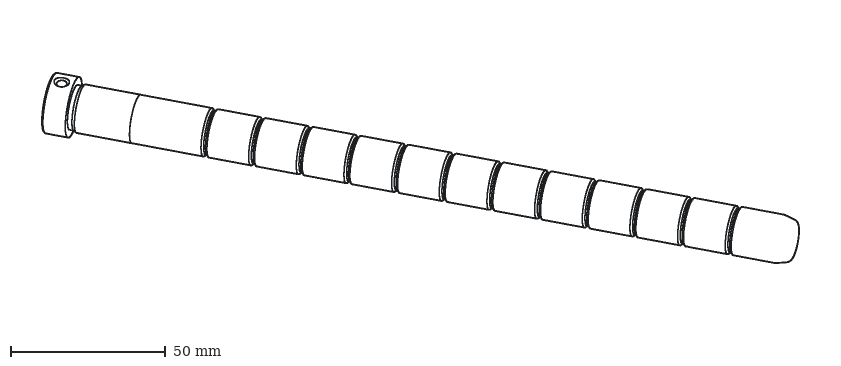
import cadquery as cq

TOTAL_LENGTH = 250.0

HEAD_DIAMETER = 20.0
HEAD_LENGTH = 8.0
HEAD_CHAMFER = 0.5

SHANK_DIAMETER = 16.0
SEAT_DIAMETER = 16.02
SEAT_END = 29.0

RELIEF_DEPTH = 0.6
RELIEF_FLOOR_LENGTH = 1.5
RELIEF_LENGTH = 2.5

GROOVE_COUNT = 12
GROOVE_PITCH = 16.0
FIRST_GROOVE_CENTER = 54.0
GROOVE_WIDTH = 2.0
GROOVE_FLOOR_WIDTH = 0.6
GROOVE_DEPTH = 0.7

TIP_LENGTH = 5.0
RIM_LENGTH = 1.5
RIM_RADIUS = 2.0
RIM_DIAMETER = 14.2
END_FACE_DIAMETER = 10.2

AXIAL_HOLE_DIAMETER = 2.6
AXIAL_COUNTERSINK_DIAMETER = 4.0
AXIAL_HOLE_DEPTH = 4.0

RADIAL_HOLE_DIAMETER = 3.3
RADIAL_COUNTERSINK_DIAMETER = 5.0
RADIAL_HOLE_DEPTH = 4.0


def revolve_about_x(outline):
    """Full revolution of an XZ outline about the pin axis."""
    return outline.revolve(360, (0, 0, 0), (1, 0, 0))


def make_body():
    """Head, relief groove, shank and tip as one turned body."""
    head_radius = HEAD_DIAMETER / 2
    seat_radius = SEAT_DIAMETER / 2
    shank_radius = SHANK_DIAMETER / 2
    relief_radius = shank_radius - RELIEF_DEPTH
    outline = (
        cq.Workplane("XZ")
        .lineTo(0, head_radius - HEAD_CHAMFER)
        .lineTo(HEAD_CHAMFER, head_radius)
        .lineTo(HEAD_LENGTH, head_radius)
        .lineTo(HEAD_LENGTH, relief_radius)
        .lineTo(HEAD_LENGTH + RELIEF_FLOOR_LENGTH, relief_radius)
        .lineTo(HEAD_LENGTH + RELIEF_LENGTH, seat_radius)
        .lineTo(SEAT_END, seat_radius)
        .lineTo(SEAT_END, shank_radius)
        .lineTo(TOTAL_LENGTH - TIP_LENGTH, shank_radius)
        .lineTo(TOTAL_LENGTH - RIM_LENGTH, RIM_DIAMETER / 2)
        .radiusArc((TOTAL_LENGTH, END_FACE_DIAMETER / 2), RIM_RADIUS)
        .lineTo(TOTAL_LENGTH, 0)
        .close()
    )
    return revolve_about_x(outline)


def make_ring_groove(center_x):
    """Ring with a trapezoidal section that cuts one groove into the shank."""
    shank_radius = SHANK_DIAMETER / 2
    floor_radius = shank_radius - GROOVE_DEPTH
    half_width = GROOVE_WIDTH / 2
    half_floor = GROOVE_FLOOR_WIDTH / 2
    outline = (
        cq.Workplane("XZ")
        .moveTo(center_x - half_width, shank_radius)
        .lineTo(center_x - half_floor, floor_radius)
        .lineTo(center_x + half_floor, floor_radius)
        .lineTo(center_x + half_width, shank_radius)
        .close()
    )
    return revolve_about_x(outline)


def cut_countersunk_hole(body, mouth_plane, hole_diameter, countersink_diameter, depth):
    """Cut a blind hole with a 90 degree countersink, inward from the mouth plane."""
    hole_radius = hole_diameter / 2
    countersink_radius = countersink_diameter / 2
    countersink_depth = countersink_radius - hole_radius
    drill = (
        cq.Workplane("XZ")
        .lineTo(countersink_radius, 0)
        .lineTo(hole_radius, -countersink_depth)
        .lineTo(hole_radius, -depth)
        .lineTo(0, -depth)
        .close()
        .revolve(360, (0, 0, 0), (0, 1, 0))
    )
    return body.cut(cq.Workplane(drill.val().moved(mouth_plane.location)))


result = make_body()

for index in range(GROOVE_COUNT):
    result = result.cut(make_ring_groove(FIRST_GROOVE_CENTER + index * GROOVE_PITCH))

head_face = cq.Plane(origin=(0, 0, 0), normal=(-1, 0, 0))
result = cut_countersunk_hole(
    result, head_face, AXIAL_HOLE_DIAMETER, AXIAL_COUNTERSINK_DIAMETER, AXIAL_HOLE_DEPTH
)

head_top = cq.Plane(origin=(HEAD_LENGTH / 2, 0, HEAD_DIAMETER / 2), normal=(0, 0, 1))
result = cut_countersunk_hole(
    result, head_top, RADIAL_HOLE_DIAMETER, RADIAL_COUNTERSINK_DIAMETER, RADIAL_HOLE_DEPTH
)